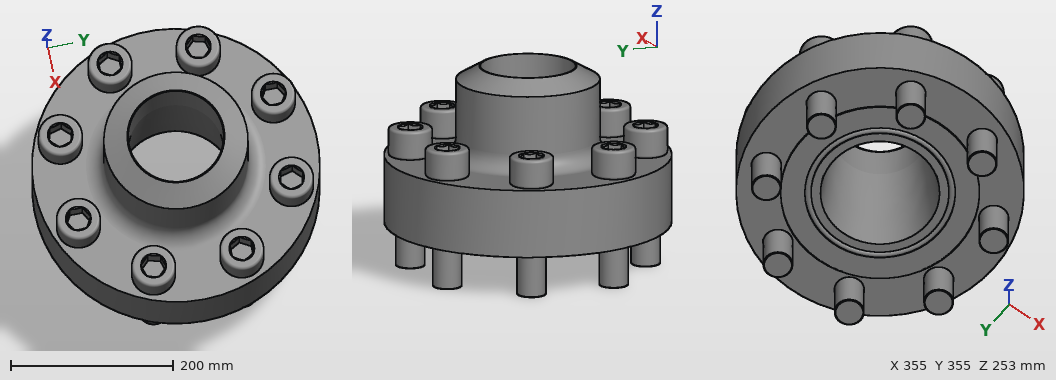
import cadquery as cq
import math

FLANGE_DIAMETER = 355.0
FLANGE_THICKNESS = 85.0
HUB_DIAMETER = 177.7
HUB_TOP = 198.0
HUB_FILLET_RADIUS = 22.0
BEVEL_TOP_DIAMETER = 120.2
BEVEL_ANGLE = 30.0
BEVEL_HEIGHT = (HUB_DIAMETER - BEVEL_TOP_DIAMETER) / 2 * math.tan(math.radians(BEVEL_ANGLE))
RAISED_FACE_DIAMETER = 245.0
RAISED_FACE_HEIGHT = 2.0

BORE_DIAMETER = 117.7
BORE_MOUTH_DIAMETER = 147.0
STRAIGHT_BORE_DEPTH = 55.0

GROOVE_INNER_DIAMETER = 170.0
GROOVE_OUTER_DIAMETER = 185.5
SEAL_PROTRUSION = 2.0
SEAL_SECTION_DIAMETER = (GROOVE_OUTER_DIAMETER - GROOVE_INNER_DIAMETER) / 2
SEAL_CENTRE_DIAMETER = (GROOVE_OUTER_DIAMETER + GROOVE_INNER_DIAMETER) / 2
SEAL_BOTTOM = -RAISED_FACE_HEIGHT - SEAL_PROTRUSION
GROOVE_DEPTH = SEAL_SECTION_DIAMETER - SEAL_PROTRUSION

BOLT_COUNT = 8
BOLT_CIRCLE_DIAMETER = 290.0
BOLT_STEP_ANGLE = 360 / BOLT_COUNT
FIRST_BOLT_ANGLE = BOLT_STEP_ANGLE / 2
BOLT_HOLE_DIAMETER = 37.0
SHANK_DIAMETER = 36.0
SHANK_LENGTH = 140.0
SHANK_END_CHAMFER = 1.0
HEAD_DIAMETER = 54.0
HEAD_HEIGHT = SHANK_DIAMETER
HEAD_FILLET_RADIUS = 3.5
SOCKET_CORNER_DIAMETER = 31.2
SOCKET_SIDES = 6
SOCKET_FLAT_WIDTH = SOCKET_CORNER_DIAMETER * math.cos(math.pi / SOCKET_SIDES)
SOCKET_DEPTH = 22.5


def disc(diameter, bottom, height):
    """Solid upright cylinder on the flange axis."""
    return cq.Workplane("XY").workplane(offset=bottom).circle(diameter / 2).extrude(height)


def make_bore():
    """Revolved cutter for the straight bore and its conical widening."""
    bore_radius = BORE_DIAMETER / 2
    profile = [
        (0, -RAISED_FACE_HEIGHT),
        (BORE_MOUTH_DIAMETER / 2, -RAISED_FACE_HEIGHT),
        (bore_radius, HUB_TOP - STRAIGHT_BORE_DEPTH),
        (bore_radius, HUB_TOP),
        (0, HUB_TOP),
    ]
    return cq.Workplane("XZ").polyline(profile).close().revolve(360, (0, 0), (0, 1))


def make_hub_profile():
    """Half section of the hub, with the concave fillet that joins it to the disc."""
    hub_radius = HUB_DIAMETER / 2
    fillet_centre = (hub_radius + HUB_FILLET_RADIUS, FLANGE_THICKNESS + HUB_FILLET_RADIUS)
    fillet_reach = HUB_FILLET_RADIUS * math.sqrt(0.5)
    fillet_middle = (fillet_centre[0] - fillet_reach, fillet_centre[1] - fillet_reach)
    return (
        cq.Workplane("XZ")
        .lineTo(fillet_centre[0], 0)
        .lineTo(fillet_centre[0], FLANGE_THICKNESS)
        .threePointArc(fillet_middle, (hub_radius, fillet_centre[1]))
        .lineTo(hub_radius, HUB_TOP - BEVEL_HEIGHT)
        .lineTo(BEVEL_TOP_DIAMETER / 2, HUB_TOP)
        .lineTo(0, HUB_TOP)
        .close()
    )


def make_seal_groove():
    """Flat-bottomed ring cutter for the groove that holds the seal."""
    return (
        cq.Workplane("XY")
        .workplane(offset=-RAISED_FACE_HEIGHT)
        .circle(GROOVE_OUTER_DIAMETER / 2)
        .circle(GROOVE_INNER_DIAMETER / 2)
        .extrude(GROOVE_DEPTH)
    )


def make_bolt_holes():
    """Cutters for the clearance holes through the disc."""
    return (
        cq.Workplane("XY")
        .polarArray(BOLT_CIRCLE_DIAMETER / 2, FIRST_BOLT_ANGLE, 360, BOLT_COUNT)
        .circle(BOLT_HOLE_DIAMETER / 2)
        .extrude(FLANGE_THICKNESS)
    )


def make_flange():
    body = disc(FLANGE_DIAMETER, 0, FLANGE_THICKNESS)
    body = body.union(disc(RAISED_FACE_DIAMETER, -RAISED_FACE_HEIGHT, RAISED_FACE_HEIGHT))
    body = body.union(make_hub_profile().revolve(360, (0, 0), (0, 1)))
    body = body.cut(make_bore())
    body = body.cut(make_seal_groove())
    return body.cut(make_bolt_holes())


def make_seal():
    """Round-section ring that stands slightly proud of the raised face."""
    return (
        cq.Workplane("XZ")
        .center(SEAL_CENTRE_DIAMETER / 2, SEAL_BOTTOM + SEAL_SECTION_DIAMETER / 2)
        .circle(SEAL_SECTION_DIAMETER / 2)
        .revolve(360, (-SEAL_CENTRE_DIAMETER / 2, 0), (-SEAL_CENTRE_DIAMETER / 2, 1))
    )


def make_bolt(angle):
    """Bolt seated on the disc, turned with its place on the bolt circle."""
    head_top = FLANGE_THICKNESS + HEAD_HEIGHT
    head = (
        disc(HEAD_DIAMETER, FLANGE_THICKNESS, HEAD_HEIGHT)
        .faces("<Z or >Z").edges().fillet(HEAD_FILLET_RADIUS)
    )
    shank = (
        disc(SHANK_DIAMETER, FLANGE_THICKNESS - SHANK_LENGTH, SHANK_LENGTH)
        .faces("<Z").edges().chamfer(SHANK_END_CHAMFER)
    )
    socket = (
        cq.Workplane("XY")
        .workplane(offset=head_top - SOCKET_DEPTH)
        .polygon(SOCKET_SIDES, SOCKET_CORNER_DIAMETER)
        .extrude(SOCKET_DEPTH)
        .rotate((0, 0, 0), (0, 0, 1), -FIRST_BOLT_ANGLE)
    )
    countersink_depth = (SOCKET_CORNER_DIAMETER - SOCKET_FLAT_WIDTH) / 2
    countersink = cq.Solid.makeCone(
        SOCKET_FLAT_WIDTH / 2,
        SOCKET_CORNER_DIAMETER / 2,
        countersink_depth,
        pnt=cq.Vector(0, 0, head_top - countersink_depth),
    )
    bolt = head.union(shank).cut(socket).cut(cq.Workplane(countersink))
    return bolt.translate((BOLT_CIRCLE_DIAMETER / 2, 0, 0)).rotate((0, 0, 0), (0, 0, 1), angle)


flange = make_flange()
seal = make_seal()
bolts = [make_bolt(FIRST_BOLT_ANGLE + i * BOLT_STEP_ANGLE) for i in range(BOLT_COUNT)]

result = cq.Compound.makeCompound([flange.val(), seal.val(), *[bolt.val() for bolt in bolts]])